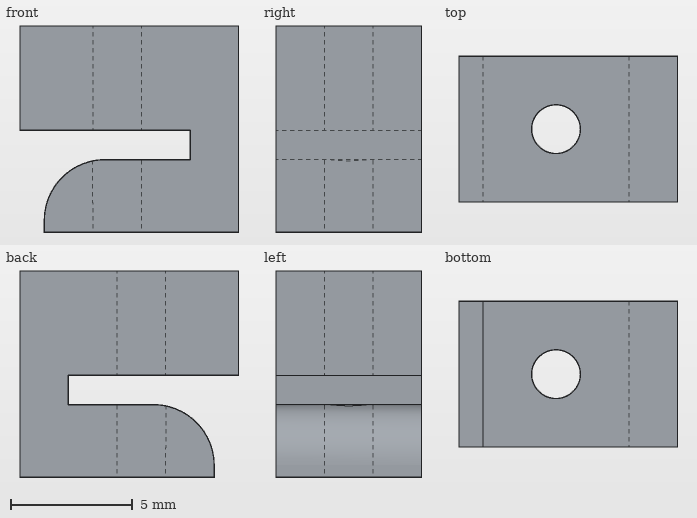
import cadquery as cq

length = 9.0
width = 6.0
height = 8.5

jaw_height = 3.0
slot_height = 1.2
wall_thickness = 2.0
jaw_setback = 1.0
jaw_radius = 2.5

hole_diameter = 2.0
hole_x = 4.0

slot_top = jaw_height + slot_height
slot_end_x = length - wall_thickness


def make_body():
    """Cut the slot and the jaw setback from a block centred on Y."""
    block = cq.Workplane("XY").box(length, width, height, centered=(False, True, False))
    slot = (
        cq.Workplane("XY", origin=(0, 0, jaw_height))
        .box(slot_end_x, width, slot_height, centered=(False, True, False))
    )
    setback = cq.Workplane("XY").box(jaw_setback, width, slot_top, centered=(False, True, False))
    return block.cut(slot).cut(setback)


def round_jaw(body):
    """Round the upper front edge of the lower jaw."""
    jaw_edge = cq.selectors.NearestToPointSelector((jaw_setback, 0, jaw_height))
    return body.edges(jaw_edge).fillet(jaw_radius)


def make_hole():
    """Cylinder that passes through both the block and the jaw."""
    return cq.Workplane("XY").center(hole_x, 0).circle(hole_diameter / 2).extrude(height)


result = round_jaw(make_body()).cut(make_hole())